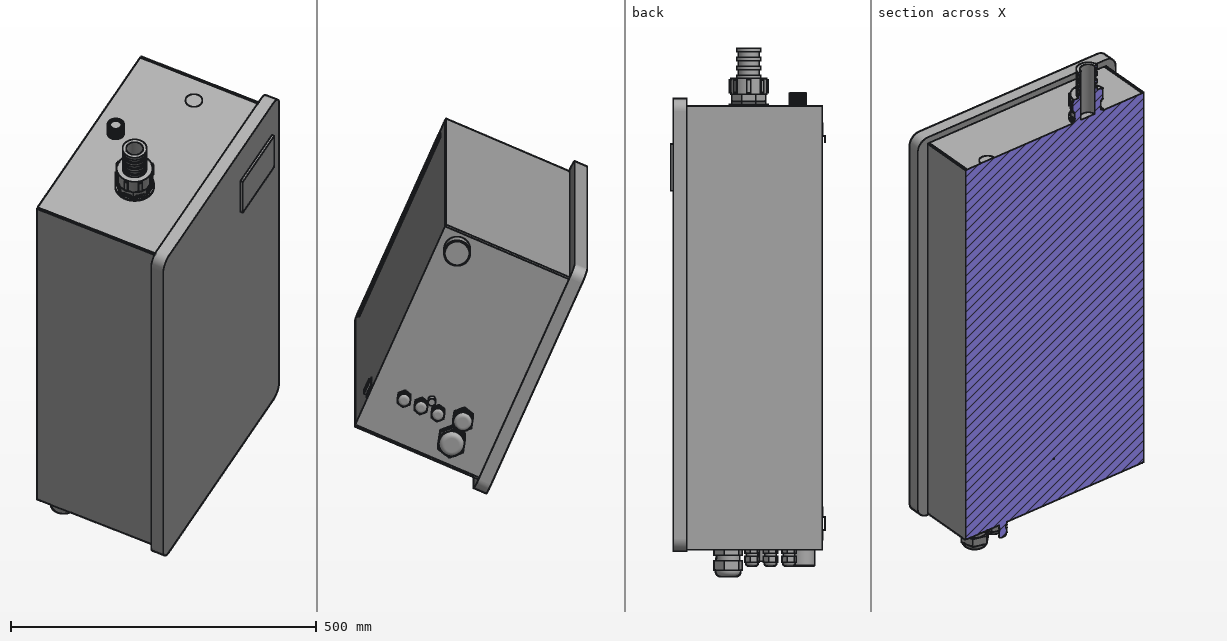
import cadquery as cq
import math


body_depth = 221.0
body_width = 372.0
body_height = 726.0
side_sheet = 3.5
side_sheet_inset = 0.4

plate_thickness = 22.5
plate_width = 412.0
plate_bottom = -3.0
plate_top = 738.0
plate_corner = 21.0
panel_thickness = 4.0
panel_y = (68.0, 181.0)
panel_z = (587.0, 664.0)

bracket_sheet = 1.0
bracket_offset = 5.0
rail_width = 332.0
rail_top = 697.5
rail_fold = 677.0
rail_bottom = 666.0
rail_hole_diameter = 4.0
rail_hole_z = 691.5
rail_hole_pitch = 136.0
clip_y = 125.0
clip_z = 43.0
clip_width = 22.0
clip_height = 54.0
clip_bridge_height = 22.5
clip_hole_diameter = 8.0

fitting_x = 120.0
fitting_y = -69.0
fitting_top = 820.0
flange_radius = 32.0
flange_height = 3.0
collar_sides = 8
collar_radius = 30.0
collar_height = 19.0
collar_groove_z = 7.0
collar_groove_height = 1.0
collar_groove_radius = 27.0
nut_core_radius = 29.0
nut_outer_radius = 32.0
nut_height = 26.0
nut_edge = 3.0
grip_count = 8
grip_width = 6.0
hose_core_radius = 17.0
barb_radius = 20.0
barb_height = 6.0
barb_pitch = 15.0
barb_count = 4
bore_radius = 14.0

stub_x = 40.0
stub_y = 19.0
stub_height = 22.0
stub_radius = 14.0
thread_depth = 1.3
thread_pitch = 2.2
stub_bore_radius = 9.5
stub_bore_depth = 3.0
disc_x = 121.0
disc_y = 140.0
disc_radius = 14.0
disc_height = 0.4

outlet_x = 34.0
outlet_y = -155.0
outlet_radius = 22.0
outlet_length = 27.0
outlet_edge = 2.0
pin_x = 98.0
pin_y = 93.0
pin_radius = 6.0
pin_length = 19.0
gland_turn = 15
gland_sides = 6
gland_collar_end = 0.2
gland_neck_end = 0.4
gland_nut_end = 0.75
gland_neck_share = 0.8
gland_dome_share = 0.86
gland_rounding = 0.8
small_gland_x = 54.5
small_gland_y = 108.0
small_gland_pitch = 30.0
small_gland_count = 3
small_gland_radius = 12.0
small_gland_length = 27.0
medium_gland_x = 156.5
medium_gland_y = 101.0
medium_gland_radius = 18.0
medium_gland_length = 35.0
large_gland_x = 154.0
large_gland_y = 141.0
large_gland_radius = 24.0
large_gland_length = 44.0


def block(x_range, y_range, z_range):
    """Box between the given limits."""
    size = [high - low for low, high in (x_range, y_range, z_range)]
    corner = (x_range[0], y_range[0], z_range[0])
    return cq.Workplane("XY").box(*size, centered=False).translate(corner)


def cylinder(x, y, bottom, radius, height):
    """Upright cylinder standing on Z = bottom."""
    return cq.Workplane("XY", origin=(x, y, bottom)).circle(radius).extrude(height)


def prism(x, y, bottom, sides, corner_radius, height, turn):
    """Upright regular prism, turned about its own axis."""
    outline = cq.Workplane("XY").polygon(sides, 2 * corner_radius).extrude(height)
    return outline.rotate((0, 0, 0), (0, 0, 1), turn).translate((x, y, bottom))


def across_x(y, z, diameter):
    """Drill that passes through a back bracket only."""
    plane = cq.Workplane("YZ", origin=(-bracket_offset, y, z))
    return plane.circle(diameter / 2).extrude(bracket_offset)


def make_body():
    half_core = body_width / 2 - side_sheet
    core = block((0, body_depth), (-half_core, half_core), (0, body_height))
    sheets = block(
        (side_sheet_inset, body_depth),
        (-body_width / 2, body_width / 2),
        (side_sheet_inset, body_height - side_sheet_inset),
    )
    return core.union(sheets)


def make_front_plate():
    plate_front = body_depth + plate_thickness
    plate = block(
        (body_depth, plate_front),
        (-plate_width / 2, plate_width / 2),
        (plate_bottom, plate_top),
    )
    plate = plate.edges("|X").fillet(plate_corner)
    panel = block((plate_front, plate_front + panel_thickness), panel_y, panel_z)
    return plate.union(panel)


def make_rail():
    """Hanging rail: a strip on the back face whose lower lip stands off as a hook."""
    y_range = (-rail_width / 2, rail_width / 2)
    strip = block((-bracket_sheet, 0), y_range, (rail_fold - bracket_sheet, rail_top))
    web = block((-bracket_offset, 0), y_range, (rail_fold - bracket_sheet, rail_fold))
    lip_x = (-bracket_offset, bracket_sheet - bracket_offset)
    lip = block(lip_x, y_range, (rail_bottom, rail_fold))
    rail = strip.union(web).union(lip)
    for y in (-rail_hole_pitch, 0, rail_hole_pitch):
        rail = rail.cut(across_x(y, rail_hole_z, rail_hole_diameter))
    return rail


def make_clip():
    """Bridge-shaped clip with a hole in the bridge and a notch in each foot."""
    y_range = (clip_y - clip_width / 2, clip_y + clip_width / 2)
    bottom = clip_z - clip_height / 2
    top = clip_z + clip_height / 2
    bridge_bottom = clip_z - clip_bridge_height / 2
    bridge_top = clip_z + clip_bridge_height / 2
    clip = block((-bracket_sheet, 0), y_range, (bottom, top))
    clip = clip.union(block((-bracket_offset, 0), y_range, (bridge_bottom, bridge_top)))
    gap_z = (bridge_bottom + bracket_sheet, bridge_top - bracket_sheet)
    clip = clip.cut(block((bracket_sheet - bracket_offset, 0), y_range, gap_z))
    for z in (bottom, clip_z, top):
        clip = clip.cut(across_x(clip_y, z, clip_hole_diameter))
    return clip


def make_hose_fitting():
    x, y = fitting_x, fitting_y
    flange = cylinder(x, y, body_height, flange_radius, flange_height)
    collar = prism(x, y, body_height, collar_sides, collar_radius, collar_height, 180 / collar_sides)
    groove_bottom = body_height + collar_groove_z
    groove = cylinder(x, y, groove_bottom, 2 * collar_radius, collar_groove_height)
    groove = groove.cut(cylinder(x, y, groove_bottom, collar_groove_radius, collar_groove_height))
    collar = collar.cut(groove)

    nut_bottom = body_height + collar_height
    nut_top = nut_bottom + nut_height
    nut = cylinder(x, y, nut_bottom, nut_core_radius, nut_height)
    for index in range(grip_count):
        grip = block(
            (0, nut_outer_radius),
            (-grip_width / 2, grip_width / 2),
            (nut_bottom + nut_edge, nut_top - nut_edge),
        )
        grip = grip.rotate((0, 0, 0), (0, 0, 1), index * 360 / grip_count)
        nut = nut.union(grip.translate((x, y, 0)))

    hose_tail = cylinder(x, y, nut_top, hose_core_radius, fitting_top - nut_top)
    for index in range(barb_count):
        barb_bottom = fitting_top - barb_height - index * barb_pitch
        hose_tail = hose_tail.union(cylinder(x, y, barb_bottom, barb_radius, barb_height))

    fitting = flange.union(collar).union(nut).union(hose_tail)
    return fitting.cut(cylinder(x, y, body_height, bore_radius, fitting_top - body_height))


def make_threaded_stub():
    root_radius = stub_radius - thread_depth
    stub = cylinder(stub_x, stub_y, body_height, root_radius, stub_height)
    for index in range(math.floor(stub_height / thread_pitch)):
        ring_bottom = body_height + index * thread_pitch
        stub = stub.union(cylinder(stub_x, stub_y, ring_bottom, stub_radius, thread_pitch / 2))
    bore_bottom = body_height + stub_height - stub_bore_depth
    return stub.cut(cylinder(stub_x, stub_y, bore_bottom, stub_bore_radius, stub_bore_depth))


def make_gland(x, y, radius, length):
    """Cable gland hanging from the underside: hexagon, neck, hexagon nut and domed end."""
    collar_end = gland_collar_end * length
    neck_end = gland_neck_end * length
    nut_end = gland_nut_end * length
    dome_length = length - nut_end
    collar = prism(x, y, -collar_end, gland_sides, radius, collar_end, gland_turn)
    neck = cylinder(x, y, -neck_end, gland_neck_share * radius, neck_end)
    nut = prism(x, y, -nut_end, gland_sides, radius, nut_end - neck_end, gland_turn)
    dome = cylinder(x, y, -length, gland_dome_share * radius, dome_length)
    dome = dome.faces("<Z").edges().fillet(gland_rounding * dome_length)
    return collar.union(neck).union(nut).union(dome)


result = make_body().union(make_front_plate()).union(make_rail()).union(make_clip())
result = result.union(make_hose_fitting()).union(make_threaded_stub())
result = result.union(cylinder(disc_x, disc_y, body_height, disc_radius, disc_height))

outlet = cylinder(outlet_x, outlet_y, -outlet_length, outlet_radius, outlet_length)
result = result.union(outlet.faces("<Z").edges().chamfer(outlet_edge))
result = result.union(cylinder(pin_x, pin_y, -pin_length, pin_radius, pin_length))

for gland_index in range(small_gland_count):
    gland_x = small_gland_x + gland_index * small_gland_pitch
    result = result.union(make_gland(gland_x, small_gland_y, small_gland_radius, small_gland_length))
result = result.union(
    make_gland(medium_gland_x, medium_gland_y, medium_gland_radius, medium_gland_length)
)
result = result.union(make_gland(large_gland_x, large_gland_y, large_gland_radius, large_gland_length))